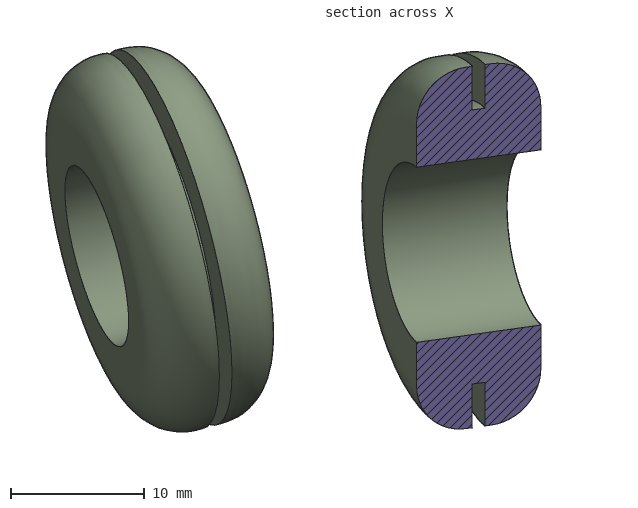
import cadquery as cq

outer_diameter = 29.0
bore_diameter = 14.0
groove_diameter = 22.0
thickness = 10.0
groove_width = 1.0
edge_radius = 4.0


def disc(diameter, width):
    """Solid cylinder along Y, centred on the origin."""
    return cq.Workplane("XZ", origin=(0, width / 2, 0)).circle(diameter / 2).extrude(width)


def rounded_body():
    """Full-width disc with both outer edges rounded."""
    return disc(outer_diameter, thickness).faces("<Y or >Y").edges().fillet(edge_radius)


def rim_groove():
    """Ring of material removed around the middle of the rim."""
    return disc(outer_diameter, groove_width).cut(disc(groove_diameter, groove_width))


bore = disc(bore_diameter, thickness)

result = rounded_body().cut(rim_groove()).cut(bore)